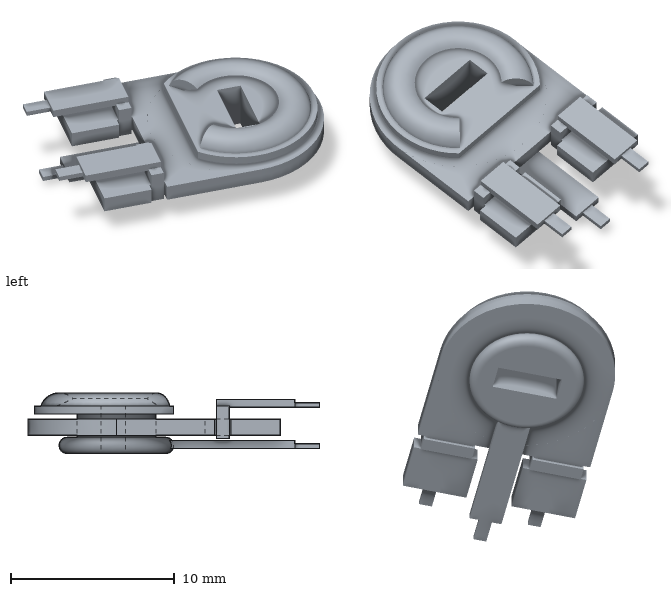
import cadquery as cq

plate_width = 10.8
head_radius = plate_width / 2
plate_thickness = 1.0
shoulder_y = -6.0
tab_width = 3.99
tab_front_y = -10.0
neck_length = 1.0
neck_width = 3.0
tab_x = head_radius - tab_width / 2

shaft_diameter = 4.8
top_gap = 0.3
bottom_gap = 0.1
disc_radius = 5.0
disc_thickness = 0.5
disc_flat_y = -3.49
disc_bottom_z = plate_thickness + top_gap
disc_top_z = disc_bottom_z + disc_thickness
ring_outer_radius = 4.61
ring_inner_radius = 2.65
ring_base_radius = (ring_outer_radius + ring_inner_radius) / 2
ring_crest_radius = 3.49
ring_height = 0.8
ring_lip_height = 0.45
ring_opening_angle = 90.0
flange_flat_diameter = 6.0
flange_thickness = 1.0
flange_top_z = -bottom_gap
flange_bottom_z = flange_top_z - flange_thickness

slot_width = 4.0
slot_depth = 1.5
slot_center_y = 0.18

lead_width = 2.0
lead_thickness = 0.5
lead_front_y = -10.9
tip_width = 0.8
tip_thickness = 0.3
overall_length = 17.8
tip_front_y = head_radius - overall_length
collar_width = 3.2
collar_length = 0.8
collar_bottom_z = -0.2
collar_top_z = 1.8
side_lead_bottom_z = 1.7
center_lead_bottom_z = -0.8
neck_center_y = shoulder_y - neck_length / 2
collar_back_y = neck_center_y + collar_length / 2


def block(center_x, width, front_y, back_y, bottom_z, top_z):
    """Box centred on center_x, between the given Y and Z limits."""
    box = cq.Workplane("XY").box(width, back_y - front_y, top_z - bottom_z, centered=(True, False, False))
    return box.translate((center_x, front_y, bottom_z))


def cylinder(radius, bottom_z, top_z):
    """Upright cylinder on the Z axis."""
    return cq.Workplane("XY").workplane(offset=bottom_z).circle(radius).extrude(top_z - bottom_z)


def driver_slot():
    """Cutter for the slot, as tall as the whole rotor stack."""
    front_y = slot_center_y - slot_depth / 2
    return block(0, slot_width, front_y, front_y + slot_depth, flange_bottom_z, disc_top_z)


def neck(center_x):
    """Narrow bridge between the base and one tab."""
    return block(center_x, neck_width, shoulder_y - neck_length, shoulder_y, 0, plate_thickness)


def make_head():
    """Round plate with a bearing hole for the rotor shaft."""
    head = cylinder(head_radius, 0, plate_thickness)
    return head.cut(cylinder(shaft_diameter / 2, 0, plate_thickness))


def make_base():
    """Rectangular plate with two tabs, hollowed to fit around the front half of the head."""
    base = block(0, plate_width, shoulder_y, 0, 0, plate_thickness)
    for center_x in (-tab_x, tab_x):
        tab = block(center_x, tab_width, tab_front_y, shoulder_y - neck_length, 0, plate_thickness)
        base = base.union(neck(center_x)).union(tab)
    return base.cut(cylinder(head_radius, 0, plate_thickness))


def make_rotor():
    """Slotted shaft through the head, topped by a disc with a straight front edge."""
    shaft = cylinder(shaft_diameter / 2, flange_top_z, disc_bottom_z)
    disc = cylinder(disc_radius, disc_bottom_z, disc_top_z)
    front_waste = block(0, 2 * disc_radius, -disc_radius, disc_flat_y, disc_bottom_z, disc_top_z)
    return disc.cut(front_waste).union(shaft).cut(driver_slot())


def make_ring():
    """Domed C-shaped ring on the disc, open towards the front, with an undercut inner lip."""
    section = (
        cq.Workplane("XZ")
        .moveTo(ring_base_radius, disc_top_z)
        .lineTo(ring_outer_radius, disc_top_z)
        .threePointArc(
            (ring_crest_radius, disc_top_z + ring_height), (ring_inner_radius, disc_top_z + ring_lip_height)
        )
        .close()
    )
    swept_ring = section.revolve(360 - ring_opening_angle, (0, 0, 0), (0, 1, 0))
    start_angle = ring_opening_angle / 2 - 90
    return swept_ring.rotate((0, 0, 0), (0, 0, 1), start_angle)


def make_flange():
    """Slotted disc below the head with a fully rounded rim."""
    flat_radius = flange_flat_diameter / 2
    rim_radius = flange_thickness / 2
    flange = (
        cq.Workplane("XZ")
        .moveTo(0, flange_bottom_z)
        .lineTo(flat_radius, flange_bottom_z)
        .threePointArc((flat_radius + rim_radius, flange_bottom_z + rim_radius), (flat_radius, flange_top_z))
        .lineTo(0, flange_top_z)
        .close()
        .revolve(360, (0, 0, 0), (0, 1, 0))
    )
    return flange.cut(driver_slot())


def make_lead(center_x, back_y, bottom_z):
    """Flat lead with its narrow tip flush with the underside."""
    lead = block(center_x, lead_width, lead_front_y, back_y, bottom_z, bottom_z + lead_thickness)
    tip = block(center_x, tip_width, tip_front_y, lead_front_y, bottom_z, bottom_z + tip_thickness)
    return lead.union(tip)


def make_side_terminal(center_x):
    """Collar around one neck of the base, carrying a raised lead."""
    collar_front_y = collar_back_y - collar_length
    collar = block(center_x, collar_width, collar_front_y, collar_back_y, collar_bottom_z, collar_top_z)
    return collar.cut(neck(center_x)).union(make_lead(center_x, collar_back_y, side_lead_bottom_z))


def make_center_terminal(flange_body):
    """Low lead whose back end follows the rim of the flange."""
    lead_back_y = -flange_flat_diameter / 2
    return make_lead(0, lead_back_y, center_lead_bottom_z).cut(flange_body)


head = make_head()
base = make_base()
rotor = make_rotor()
ring = make_ring()
flange = make_flange()
center_terminal = make_center_terminal(flange)
side_terminals = [make_side_terminal(center_x) for center_x in (-tab_x, tab_x)]

result = cq.Compound.makeCompound(
    [
        head.val(),
        base.val(),
        rotor.val(),
        ring.val(),
        flange.val(),
        center_terminal.val(),
        *[terminal.val() for terminal in side_terminals],
    ]
)